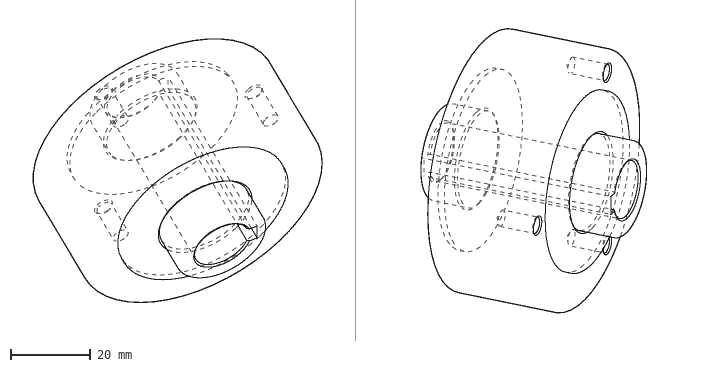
import cadquery as cq
import math

rim_diameter = 68.0
rim_width = 28.0
cover_diameter = 47.0
cover_width = 32.0
hub_diameter = 25.0
hub_length = 52.0
edge_radius = 0.6
hub_edge_radius = 1.0

relief_width = 0.6

bore_diameter = 15.0
bore_chamfer = 0.5
key_width = 5.0
key_reach = 9.8

hole_count = 3
hole_circle_radius = 28.0
hole_diameter = 4.2
hole_chamfer = 0.4
hole_depth = 10.0
drill_point_angle = 118.0


def disc(diameter, width, round_radius):
    """Disc centred on the origin along X, with both rims rounded."""
    blank = cq.Workplane("YZ", origin=(-width / 2, 0, 0)).circle(diameter / 2).extrude(width)
    return blank.edges("%CIRCLE").fillet(round_radius)


def revolve_about_x(points):
    """Revolve an (x, radius) outline a full turn about the X axis."""
    return cq.Workplane("XY").polyline(points).close().revolve(360, (0, 0, 0), (1, 0, 0))


def relief():
    """V groove in the -X cover face: straight along the hub, 45 degrees outside."""
    face = -cover_width / 2
    hub_radius = hub_diameter / 2
    return revolve_about_x([
        (face, hub_radius),
        (face, hub_radius + relief_width),
        (face + relief_width, hub_radius),
    ])


def keyed_bore():
    """Through bore, chamfered at both ends, with a keyway on the +Y side."""
    end = hub_length / 2
    radius = bore_diameter / 2
    bore = revolve_about_x([
        (-end, 0),
        (-end, radius + bore_chamfer),
        (-end + bore_chamfer, radius),
        (end - bore_chamfer, radius),
        (end, radius + bore_chamfer),
        (end, 0),
    ])
    keyway = cq.Workplane("XY").box(hub_length, key_reach, key_width, centered=(True, False, True))
    return bore.union(keyway)


def screw_hole():
    """Chamfered blind hole with a conical bottom, on the +Y side of the rim."""
    face = -rim_width / 2
    radius = hole_diameter / 2
    point_depth = radius / math.tan(math.radians(drill_point_angle / 2))
    hole = revolve_about_x([
        (face, 0),
        (face, radius + hole_chamfer),
        (face + hole_chamfer, radius),
        (face + hole_depth, radius),
        (face + hole_depth + point_depth, 0),
    ])
    return hole.translate((0, hole_circle_radius, 0))


result = (
    disc(rim_diameter, rim_width, edge_radius)
    .union(disc(cover_diameter, cover_width, edge_radius))
    .union(disc(hub_diameter, hub_length, hub_edge_radius))
)

near_relief = relief()
result = result.cut(near_relief).cut(near_relief.mirror("YZ"))
result = result.cut(keyed_bore())

for index in range(hole_count):
    angle = index * 360 / hole_count
    result = result.cut(screw_hole().rotate((0, 0, 0), (1, 0, 0), angle))